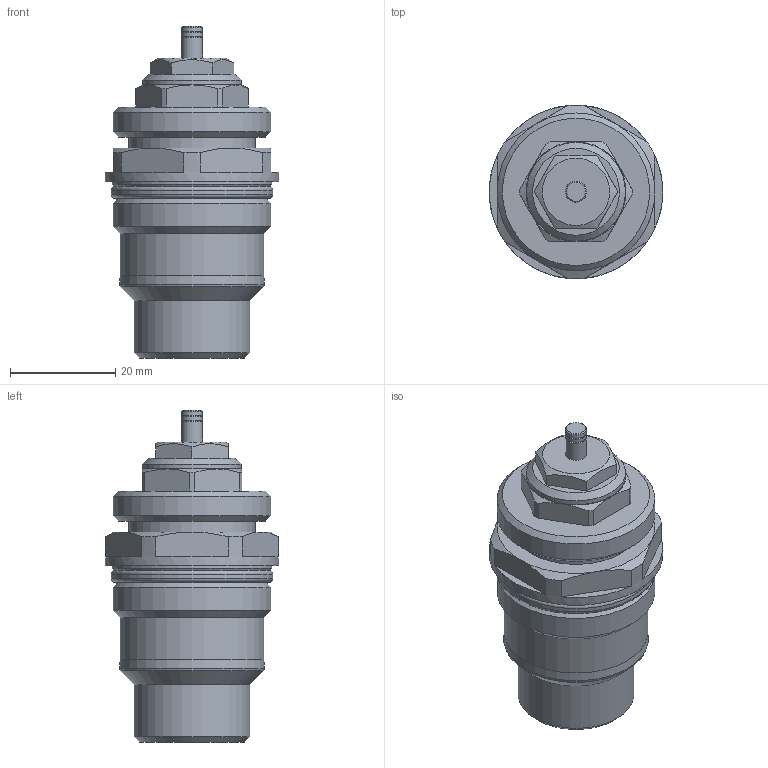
import cadquery as cq
import math

NOSE_TOP = 10.85
LIP_BASE = 13.55
LIP_CREST = 14.0
LIP_TOP = 15.7
BARREL_TOP = 23.65
GUIDE_BASE = 25.0
GUIDE_TOP = 30.25
SEAL_BASE = 30.35
SEAL_TOP = 32.65
FLANGE_BASE = 33.5
FLANGE_TOP = 35.3
BODY_HEX_TOP = 39.9
CAP_BASE = 42.0
CAP_TOP = 47.7
GLAND_HEX_TOP = 51.9
COLLAR_EDGE = 52.8
COLLAR_TOP = 53.9
SMALL_HEX_TOP = 57.0
STEM_TOP = 63.1

NOSE_RADIUS = 11.0
BARREL_RADIUS = 13.65
LIP_RADIUS = 13.75
GUIDE_RADIUS = 15.0
FLANGE_RADIUS = 16.5
UNDERCUT_RADIUS = 15.15
SEAL_RADIUS = 15.35
SEAL_ROUNDING = 0.75
SEAL_GROOVE_RADIUS = 14.2
NECK_RADIUS = 12.05
CAP_RADIUS = 15.0
COLLAR_RADIUS = 9.4
COLLAR_TOP_RADIUS = 8.25
STEM_RADIUS = 2.0

NOSE_CHAMFER = 1.0
GUIDE_CHAMFER = 0.85
CAP_CHAMFER = 1.0
STEM_CHAMFER = 0.2
UNDERCUT_TAPER_HEIGHT = 0.35
UNDERCUT_TAPER_DEPTH = 0.2
HEX_CHAMFER_ANGLE = 30.0

HEX_SIDES = 6
BODY_HEX_FLATS = 30.0
BODY_HEX_TURN = 180 / HEX_SIDES
GLAND_HEX_FLATS = 19.0
GLAND_HEX_CORNER_RADIUS = 10.7
SMALL_HEX_FLATS = 13.8
SMALL_HEX_TOP_RADIUS = 6.4

STEM_GROOVE_HEIGHTS = (61.05, 62.0)
STEM_GROOVE_WIDTH = 0.25
STEM_GROOVE_DEPTH = 0.2


def revolve_profile(points):
    """Turn (radius, height) points, closed along the Z axis, into a solid."""
    bottom = points[0][1]
    top = points[-1][1]
    outline = [(0, bottom)] + points + [(0, top)]
    return cq.Workplane("XZ").polyline(outline).close().revolve(360, (0, 0), (0, 1))


def lower_body():
    """Nose, barrel and guide, up to the seat of the seal."""
    return revolve_profile([
        (NOSE_RADIUS - NOSE_CHAMFER, 0),
        (NOSE_RADIUS, NOSE_CHAMFER),
        (NOSE_RADIUS, NOSE_TOP),
        (BARREL_RADIUS, LIP_BASE),
        (LIP_RADIUS, LIP_CREST),
        (BARREL_RADIUS, LIP_TOP),
        (BARREL_RADIUS, BARREL_TOP),
        (GUIDE_RADIUS, GUIDE_BASE),
        (GUIDE_RADIUS, GUIDE_TOP - GUIDE_CHAMFER),
        (GUIDE_RADIUS - GUIDE_CHAMFER, GUIDE_TOP),
        (SEAL_GROOVE_RADIUS, SEAL_BASE),
    ])


def seal():
    """Sealing ring with rounded upper and lower edges."""
    ring = cq.Workplane("XY", origin=(0, 0, SEAL_BASE)).circle(SEAL_RADIUS).extrude(SEAL_TOP - SEAL_BASE)
    return ring.edges().fillet(SEAL_ROUNDING)


def flange():
    """Flange that carries the body hexagon, with the tapered undercut below it."""
    return revolve_profile([
        (UNDERCUT_RADIUS - UNDERCUT_TAPER_DEPTH, SEAL_TOP),
        (UNDERCUT_RADIUS, SEAL_TOP + UNDERCUT_TAPER_HEIGHT),
        (UNDERCUT_RADIUS, FLANGE_BASE),
        (FLANGE_RADIUS, FLANGE_BASE),
        (FLANGE_RADIUS, FLANGE_TOP),
    ])


def neck_and_cap():
    """Neck above the body hexagon and the chamfered cap on it."""
    return revolve_profile([
        (NECK_RADIUS, BODY_HEX_TOP),
        (NECK_RADIUS, CAP_BASE),
        (CAP_RADIUS - CAP_CHAMFER, CAP_BASE),
        (CAP_RADIUS, CAP_BASE + CAP_CHAMFER),
        (CAP_RADIUS, CAP_TOP - CAP_CHAMFER),
        (CAP_RADIUS - CAP_CHAMFER, CAP_TOP),
    ])


def collar():
    """Tapered collar between the gland hexagon and the small hexagon."""
    return revolve_profile([
        (COLLAR_RADIUS, GLAND_HEX_TOP),
        (COLLAR_RADIUS, COLLAR_EDGE),
        (COLLAR_TOP_RADIUS, COLLAR_TOP),
    ])


def across_corners(flats):
    """Corner-to-corner width of a hexagon from its width across flats."""
    return flats / math.cos(math.pi / HEX_SIDES)


def hexagon(flats, base, top, top_radius, corner_radius, turn=0):
    """Hexagon with flats facing +-Y before turning, trimmed to corner_radius and chamfered on top."""
    prism = (
        cq.Workplane("XY", origin=(0, 0, base))
        .polygon(HEX_SIDES, across_corners(flats))
        .extrude(top - base)
        .rotate((0, 0, 0), (0, 0, 1), turn)
    )
    drop = (corner_radius - top_radius) * math.tan(math.radians(HEX_CHAMFER_ANGLE))
    envelope = revolve_profile([
        (corner_radius, base),
        (corner_radius, top - drop),
        (top_radius, top),
    ])
    return prism.intersect(envelope)


def stem():
    """Slim stem with two shallow grooves near its chamfered tip."""
    body = revolve_profile([
        (STEM_RADIUS, SMALL_HEX_TOP),
        (STEM_RADIUS, STEM_TOP - STEM_CHAMFER),
        (STEM_RADIUS - STEM_CHAMFER, STEM_TOP),
    ])
    for height in STEM_GROOVE_HEIGHTS:
        groove = (
            cq.Workplane("XY", origin=(0, 0, height - STEM_GROOVE_WIDTH / 2))
            .circle(STEM_RADIUS + STEM_GROOVE_DEPTH)
            .circle(STEM_RADIUS - STEM_GROOVE_DEPTH)
            .extrude(STEM_GROOVE_WIDTH)
        )
        body = body.cut(groove)
    return body


body_hexagon = hexagon(
    BODY_HEX_FLATS, FLANGE_TOP, BODY_HEX_TOP, BODY_HEX_FLATS / 2, FLANGE_RADIUS, turn=BODY_HEX_TURN
)
gland_hexagon = hexagon(
    GLAND_HEX_FLATS, CAP_TOP, GLAND_HEX_TOP, GLAND_HEX_FLATS / 2, GLAND_HEX_CORNER_RADIUS
)
small_hexagon = hexagon(
    SMALL_HEX_FLATS, COLLAR_TOP, SMALL_HEX_TOP, SMALL_HEX_TOP_RADIUS,
    across_corners(SMALL_HEX_FLATS) / 2,
)

result = lower_body()
for section in (
    seal(),
    flange(),
    body_hexagon,
    neck_and_cap(),
    gland_hexagon,
    collar(),
    small_hexagon,
    stem(),
):
    result = result.union(section)